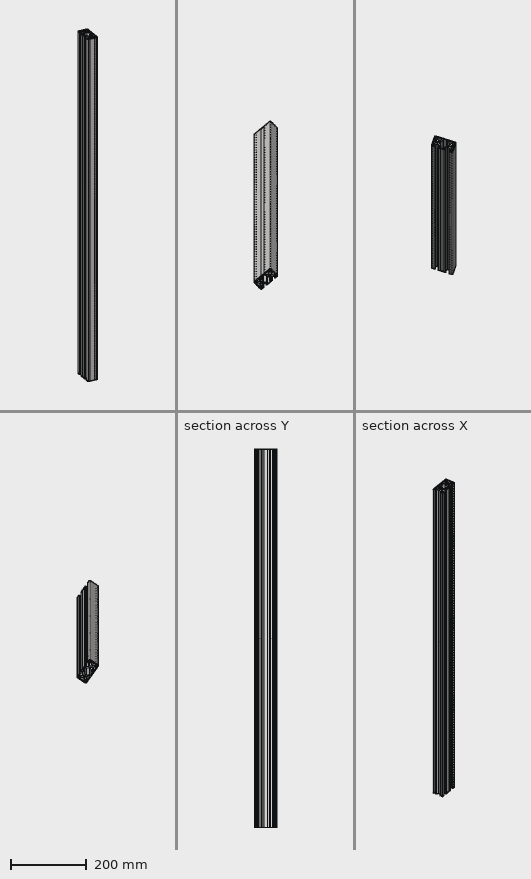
import cadquery as cq
length = 1000.0
cell = 30.0
width = 2 * cell
corner_radius = 3.1

core_half = 5.7
bore_diameter = 5.0

lip_thickness = 3.0
slot_opening = 9.0
undercut_half = 6.6
floor_half = 2.2
flank_rise = 4.0

outer_wall = 1.9
hollow_half_width = 10.0
hollow_side_half = 2.7
neck_half = 4.8
neck_start = 9.0

corner_hollow = 5.0
corner_wall = 3.0

half_cell = cell / 2
lip_inner = half_cell - lip_thickness
flank_end = core_half + flank_rise
corner_offset = half_cell - corner_wall - corner_hollow / 2


def rod(outline):
    """Extrude a closed outline over the full length, centred on Z = 0."""
    return outline.extrude(length / 2, both=True)


def slot_chamber(core_x, angle):
    """Undercut chamber of one slot, turned about its core from the +Y position."""
    right_side = [
        (floor_half, core_half),
        (undercut_half, flank_end),
        (undercut_half, lip_inner),
    ]
    left_side = [(-x, y) for x, y in reversed(right_side)]
    chamber = rod(cq.Workplane("XY").polyline(right_side + left_side).close())
    return chamber.rotate((0, 0, 0), (0, 0, 1), angle).translate((core_x, 0, 0))


def slot_mouth(core_x):
    """Opening through the lips of the slot on the -Y side."""
    mouth_y = -(half_cell + lip_inner) / 2
    return rod(cq.Workplane("XY").center(core_x, mouth_y).rect(slot_opening, lip_thickness))


def core_bore(core_x):
    """Round bore along the axis of a core."""
    return rod(cq.Workplane("XY").center(core_x, 0).circle(bore_diameter / 2))


def corner_hollows(core_x, outward):
    """Square hollows in the two outer corners of a cell."""
    hollow_x = core_x + outward * corner_offset
    centers = [(hollow_x, corner_offset), (hollow_x, -corner_offset)]
    return rod(cq.Workplane("XY").pushPoints(centers).rect(corner_hollow, corner_hollow))


def central_hollow():
    """Hollow between the cores, bounded by the cores, diagonal webs and outer walls."""
    quarter = [
        (hollow_half_width, hollow_side_half),
        (neck_half, neck_start),
        (neck_half, half_cell - outer_wall),
    ]
    upper = quarter + [(-x, y) for x, y in reversed(quarter)]
    lower = [(-x, -y) for x, y in upper]
    return rod(cq.Workplane("XY").polyline(upper + lower).close())


body = rod(cq.Workplane("XY").rect(width, cell)).edges("|Z").fillet(corner_radius)
body = body.cut(central_hollow())

for outward in (-1, 1):
    core_x = outward * half_cell
    for slot_angle in (0, 180, -90 * outward):
        body = body.cut(slot_chamber(core_x, slot_angle))
    body = body.cut(slot_mouth(core_x))
    body = body.cut(core_bore(core_x))
    body = body.cut(corner_hollows(core_x, outward))

result = body